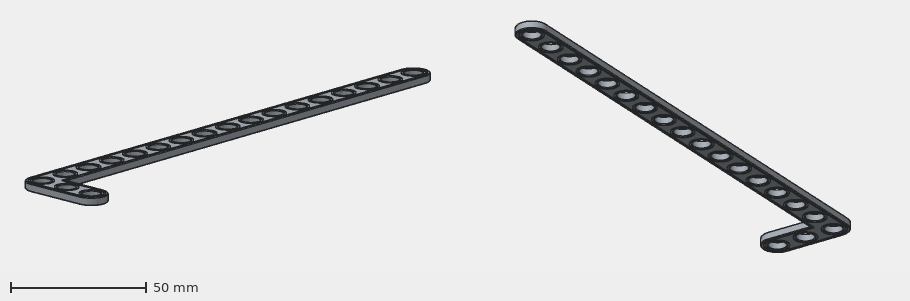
import cadquery as cq

overall_length = 212.5
long_arm_holes = 17
short_arm_holes = 3
thickness = 3.2
hole_diameter = 7.0
collar_diameter = 9.1
rim_width = 1.0
recess_depth = 0.25
edge_chamfer = 0.32

pitch = overall_length / long_arm_holes
arm_width = pitch
long_arm_reach = (long_arm_holes - 1) * pitch
short_arm_reach = (short_arm_holes - 1) * pitch

long_arm_centers = [(0, i * pitch) for i in range(long_arm_holes)]
short_arm_centers = [(i * pitch, 0) for i in range(1, short_arm_holes)]
hole_centers = long_arm_centers + short_arm_centers


def angle_bar(width, height):
    """L-shaped bar with full-round ends, its arms meeting at the corner hole."""
    long_arm = (
        cq.Workplane("XY")
        .center(0, long_arm_reach / 2)
        .slot2D(long_arm_reach + width, width, 90)
        .extrude(height)
    )
    short_arm = (
        cq.Workplane("XY")
        .center(short_arm_reach / 2, 0)
        .slot2D(short_arm_reach + width, width)
        .extrude(height)
    )
    return long_arm.union(short_arm).clean()


def cylinders_at_holes(diameter, height):
    """One upright cylinder at every hole center."""
    return cq.Workplane("XY").pushPoints(hole_centers).circle(diameter / 2).extrude(height)


plate = angle_bar(arm_width, thickness).cut(cylinders_at_holes(hole_diameter, thickness))
plate = plate.faces("<Z or >Z").edges().chamfer(edge_chamfer)

recess = angle_bar(arm_width - 2 * rim_width, recess_depth)
recess = recess.cut(cylinders_at_holes(collar_diameter, recess_depth))
for floor_height in (0, thickness - recess_depth):
    plate = plate.cut(recess.translate((0, 0, floor_height)))

result = plate